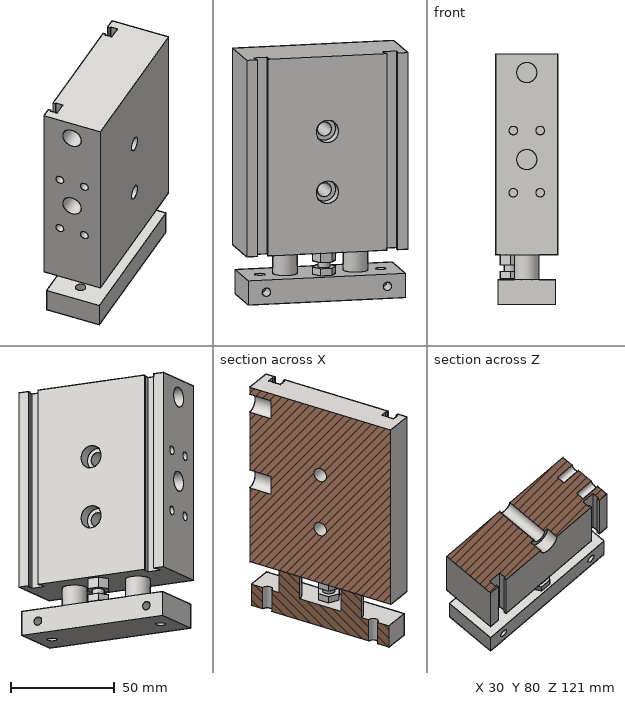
import cadquery as cq

HOUSING_X = 30.0
HOUSING_Y = 80.0
HOUSING_Z = 97.0

SLOT_CENTER_Y = 32.05
SLOT_MOUTH_WIDTH = 5.2
SLOT_INNER_WIDTH = 6.6
SLOT_LIP = 1.4
SLOT_DEPTH = 5.0

MOUNT_HEIGHTS = (HOUSING_Z - 67.0, HOUSING_Z - 37.0)
MOUNT_DIAMETER = 6.9
COUNTERBORE_DIAMETER = 11.0
COUNTERBORE_DEPTH = 6.3
TAPPED_DIAMETER = 4.13
TAPPED_OFFSET_X = 6.5
TAPPED_DEPTH = 10.0

PORT_HEIGHTS = (HOUSING_Z - 51.0, HOUSING_Z - 9.0)
PORT_DIAMETER = 9.73
PORT_DEPTH = 12.0

STROKE_GAP = 12.0
PLATE_X = 28.0
PLATE_Y = 78.0
PLATE_Z = 12.0
ROD_DIAMETER = 12.0
ROD_OFFSET_Y = 17.5
PLATE_HOLE_OFFSET_Y = 30.0
PLATE_BOLT_HOLE_DIAMETER = 4.9

BOLT_X = -7.9
BOLT_DIAMETER = 6.0
HEX_ACROSS_FLATS = 10.0
NUT_HEIGHT = 5.0
BOLT_NECK = 3.0
BOLT_HEAD_HEIGHT = 3.5


def sensor_slot(center_y):
    """T-slot cutter running the full height of the housing."""
    face_x = -HOUSING_X / 2
    mouth = cq.Workplane("XY").box(
        SLOT_DEPTH, SLOT_MOUTH_WIDTH, HOUSING_Z, centered=(False, True, False)
    )
    inner = (
        cq.Workplane("XY")
        .box(SLOT_DEPTH - SLOT_LIP, SLOT_INNER_WIDTH, HOUSING_Z, centered=(False, True, False))
        .translate((SLOT_LIP, 0, 0))
    )
    return mouth.union(inner).translate((face_x, center_y, 0))


def cylinder_x(diameter, length, y, z, start_x):
    """Cylinder running toward +X from start_x."""
    return cq.Workplane("YZ", origin=(start_x, y, z)).circle(diameter / 2).extrude(length)


def cylinder_y(diameter, length, x, z, start_y):
    """Cylinder running toward +Y from start_y."""
    return cq.Workplane("XZ", origin=(x, start_y, z)).circle(diameter / 2).extrude(-length)


def make_housing():
    body = cq.Workplane("XY").box(HOUSING_X, HOUSING_Y, HOUSING_Z, centered=(True, True, False))
    side_x = -HOUSING_X / 2
    end_y = -HOUSING_Y / 2
    for center_y in (-SLOT_CENTER_Y, SLOT_CENTER_Y):
        body = body.cut(sensor_slot(center_y))
    for z in MOUNT_HEIGHTS:
        body = body.cut(cylinder_x(MOUNT_DIAMETER, HOUSING_X, 0, z, side_x))
        body = body.cut(cylinder_x(COUNTERBORE_DIAMETER, COUNTERBORE_DEPTH, 0, z, side_x))
        for x in (-TAPPED_OFFSET_X, TAPPED_OFFSET_X):
            body = body.cut(cylinder_y(TAPPED_DIAMETER, TAPPED_DEPTH, x, z, end_y))
    for z in PORT_HEIGHTS:
        body = body.cut(cylinder_y(PORT_DIAMETER, PORT_DEPTH, 0, z, end_y))
    return body


def make_rod_plate():
    """End plate and guide rods, with the rods ending at the housing face."""
    plate_top = -STROKE_GAP
    plate = (
        cq.Workplane("XY", origin=(0, 0, plate_top - PLATE_Z))
        .box(PLATE_X, PLATE_Y, PLATE_Z, centered=(True, True, False))
    )
    for y in (-PLATE_HOLE_OFFSET_Y, PLATE_HOLE_OFFSET_Y):
        side_hole = cylinder_x(TAPPED_DIAMETER, TAPPED_DEPTH, y, plate_top - PLATE_Z / 2, -PLATE_X / 2)
        face_hole = (
            cq.Workplane("XY", origin=(0, y, plate_top))
            .circle(PLATE_BOLT_HOLE_DIAMETER / 2)
            .extrude(-PLATE_Z)
        )
        plate = plate.cut(side_hole).cut(face_hole)
    rods = (
        cq.Workplane("XY", origin=(0, 0, plate_top))
        .pushPoints([(0, -ROD_OFFSET_Y), (0, ROD_OFFSET_Y)])
        .circle(ROD_DIAMETER / 2)
        .extrude(STROKE_GAP)
    )
    return plate.union(rods)


def hexagon(top_z, height):
    """Hexagonal prism below top_z, with two corners along Y."""
    return (
        cq.Workplane("XY", origin=(BOLT_X, 0, top_z))
        .polygon(6, HEX_ACROSS_FLATS, circumscribed=True)
        .extrude(-height)
    )


def make_stopper_bolt():
    head_top = -(NUT_HEIGHT + BOLT_NECK)
    nut = hexagon(0, NUT_HEIGHT)
    head = hexagon(head_top, BOLT_HEAD_HEIGHT)
    neck = (
        cq.Workplane("XY", origin=(BOLT_X, 0, head_top))
        .circle(BOLT_DIAMETER / 2)
        .extrude(BOLT_NECK)
    )
    return nut.union(neck).union(head)


housing = make_housing()
rod_plate = make_rod_plate()
stopper_bolt = make_stopper_bolt()

result = cq.Compound.makeCompound([housing.val(), rod_plate.val(), stopper_bolt.val()])